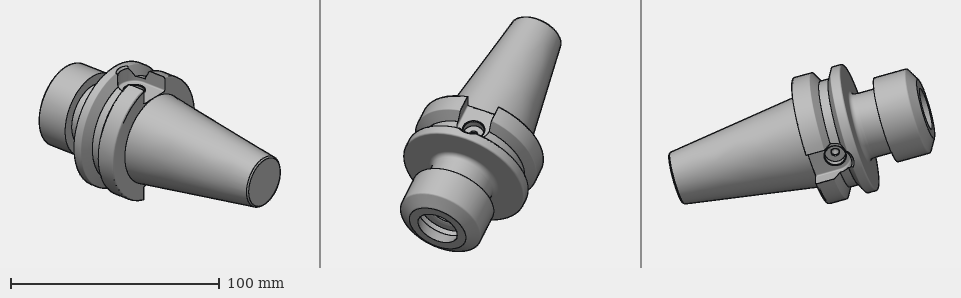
import cadquery as cq
import math


overall_length = 125.4
nut_length = 19.8
nut_radius = 42.0 / 2
nose_outer_radius = 30.5 / 2
nose_face_radius = 14.7
nose_edge_length = 0.3
nut_edge_fillet = 1.0
nose_cone_length = 3.8

neck_radius = 31.9 / 2
relief_start = 29.5
relief_end = 30.8
relief_radius = 32.0 / 2

flange_start = 33.1
flange_end = 57.8
flange_radius = 63.0 / 2
flange_edge = 0.9
neck_fillet = flange_start - relief_end
groove_edge = 0.6
groove_radius = 26.5
groove_start = 40.9
groove_end = 45.5
groove_slope_angle = 30
groove_slope_length = (flange_radius - groove_radius) * math.tan(math.radians(groove_slope_angle))

shank_large_radius = 22.7
shank_slope = 7 / 24 / 2
shank_edge = 0.8
shank_straight_end = overall_length - shank_edge
shank_small_radius = shank_large_radius - (shank_straight_end - flange_end) * shank_slope

mouth_radius = 10.2
cavity_radius = 13.8
cavity_cone_depth = 7.6
collet_face_depth = 10.5
collet_mouth_radius = 10.5
collet_cone_depth = 10.8
collet_throat_radius = 18.0 / 2
collet_bore_start = 11.2
collet_bore_radius = 8.3
collet_bore_end = 25.1

slot_half_width = 8.0
slot_floor_height = shank_large_radius
slot_center_x = groove_end
slot_floor_fillet = 0.8
slot_flare_height = 30.3
slot_flare_angle = 45
plug_hole_radius = 10.0 / 2
plug_hole_depth = 3.8
plug_rim_chamfer = 0.4
socket_radius = 4.0 / 2
socket_depth = 1.3
socket_tip_depth = 1.1

rim_search = 0.1


def revolve_about_x(profile):
    return profile.close().revolve(360, (0, 0, 0), (1, 0, 0))


def fillet_rim(body, x, radius):
    """Round the circular edge that is centred on the axis at the given X."""
    slab = cq.selectors.BoxSelector(
        (x - rim_search, -flange_radius, -flange_radius),
        (x + rim_search, flange_radius, flange_radius),
    )
    return body.edges("%CIRCLE").edges(slab).fillet(radius)


def make_body():
    profile = (
        cq.Workplane("XY")
        .moveTo(0, 0)
        .lineTo(0, nose_face_radius)
        .lineTo(nose_edge_length, nose_outer_radius)
        .lineTo(nose_cone_length, nut_radius)
        .lineTo(nut_length, nut_radius)
        .lineTo(nut_length, neck_radius)
        .lineTo(relief_start, neck_radius)
        .lineTo(relief_end, relief_radius)
        .radiusArc((flange_start, relief_radius + neck_fillet), -neck_fillet)
        .lineTo(flange_start, flange_radius - flange_edge)
        .radiusArc((flange_start + flange_edge, flange_radius), flange_edge)
        .lineTo(groove_start - groove_slope_length, flange_radius)
        .lineTo(groove_start, groove_radius)
        .lineTo(groove_end, groove_radius)
        .lineTo(groove_end + groove_slope_length, flange_radius)
        .lineTo(flange_end - flange_edge, flange_radius)
        .radiusArc((flange_end, flange_radius - flange_edge), flange_edge)
        .lineTo(flange_end, shank_large_radius)
        .lineTo(shank_straight_end, shank_small_radius)
        .lineTo(overall_length, shank_small_radius - shank_edge)
        .lineTo(overall_length, 0)
    )
    body = revolve_about_x(profile)
    groove_rim_places = (groove_start - groove_slope_length, groove_end + groove_slope_length)
    for x in groove_rim_places:
        body = fillet_rim(body, x, groove_edge)
    return fillet_rim(body, nose_cone_length, nut_edge_fillet)


def make_bore():
    profile = (
        cq.Workplane("XY")
        .moveTo(0, 0)
        .lineTo(0, mouth_radius)
        .lineTo(cavity_cone_depth, cavity_radius)
        .lineTo(collet_face_depth, cavity_radius)
        .lineTo(collet_face_depth, collet_mouth_radius)
        .lineTo(collet_cone_depth, collet_throat_radius)
        .lineTo(collet_bore_start, collet_bore_radius)
        .lineTo(collet_bore_end, collet_bore_radius)
        .lineTo(collet_bore_end, 0)
    )
    return revolve_about_x(profile)


def slot_outline(height):
    """Outline of a slot with one round end, running out past the shank side of the flange."""
    length = flange_end - slot_center_x + slot_half_width
    return (
        cq.Workplane("XY", origin=(slot_center_x, 0, height))
        .moveTo(length, -slot_half_width)
        .lineTo(0, -slot_half_width)
        .threePointArc((-slot_half_width, 0), (0, slot_half_width))
        .lineTo(length, slot_half_width)
        .close()
    )


def make_slot():
    """Slot with a filleted floor and walls that flare out near the flange rim."""
    slot = slot_outline(slot_floor_height).extrude(flange_radius - slot_floor_height)
    slot = slot.faces("<Z").edges("not(>X)").fillet(slot_floor_fillet)
    flare = slot_outline(slot_flare_height).extrude(
        flange_radius - slot_flare_height, taper=-slot_flare_angle
    )
    return slot.union(flare)


def make_plug_hole():
    hole_bottom = slot_floor_height - plug_hole_depth
    socket_bottom = hole_bottom - socket_depth
    rim_radius = plug_hole_radius + plug_rim_chamfer
    return (
        cq.Workplane("XZ", origin=(slot_center_x, 0, 0))
        .moveTo(0, slot_floor_height)
        .lineTo(rim_radius, slot_floor_height)
        .lineTo(plug_hole_radius, slot_floor_height - plug_rim_chamfer)
        .lineTo(plug_hole_radius, hole_bottom)
        .lineTo(socket_radius, hole_bottom)
        .lineTo(socket_radius, socket_bottom)
        .lineTo(0, socket_bottom - socket_tip_depth)
        .close()
        .revolve(360, (0, 0, 0), (0, 1, 0))
    )


result = make_body().cut(make_bore())
slot_cutter = make_slot().union(make_plug_hole())
for turn in (0, 180):
    result = result.cut(slot_cutter.rotate((0, 0, 0), (1, 0, 0), turn))